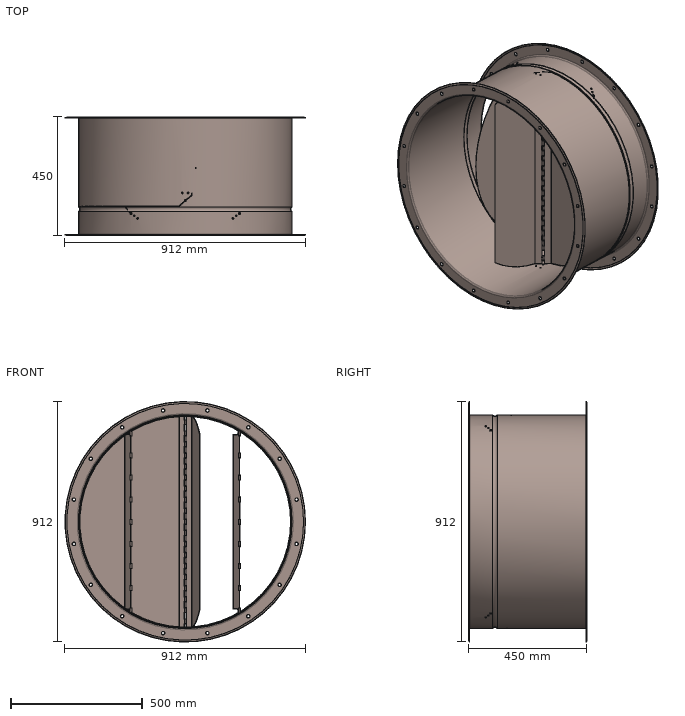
import cadquery as cq
import math


LENGTH = 450.0
FLANGE_RADIUS = 456.0
BORE_RADIUS = 404.0
WALL = 1.4
BEND_RADIUS = 5.9
RIM_WIDTH = 7.0
RIM_SETBACK = 3.0
BEAD_FRONT = -134.0
BEAD_BACK = -116.0
BEAD_DEPTH = 5.0

BOLT_COUNT = 16
BOLT_CIRCLE_RADIUS = 430.5
BOLT_HOLE_DIAMETER = 12.0

SHEET = 1.4
LEAF_RADIUS = 402.0
OPEN_ANGLE = 81.3
SEAT_Y = -113.0
FOLD_GAP = 2.0
BARREL_GAP = 1.0

INNER_HINGE = (0.0, -92.0)
INNER_FOLD_X = 23.0
INNER_BARREL_RADIUS = 4.0
INNER_PITCH = 42.0
LEFT_KNUCKLE_LENGTH = 18.0
RIGHT_KNUCKLE_LENGTH = 22.0
LEFT_KNUCKLES = range(-9, 10)
RIGHT_KNUCKLES = range(-8, 8)

OUTER_HINGE = (206.0, -141.0)
OUTER_FOLD_X = 230.0
OUTER_BARREL_RADIUS = 4.0
OUTER_PITCH = 84.0
OUTER_KNUCKLE_LENGTH = 19.0
OUTER_KNUCKLES = range(-4, 5)
LIP_TOP = 330.0
RELIEF_START = 9.0
RELIEF_END = 15.0

PIN_HOLE_DIAMETER = 5.3
STOP_HOLE_DIAMETER = 5.0
CENTRE_STOP_HOLES = [(-11.0, -63.0), (11.0, -63.0)]
SIDE_STOP_HOLES = [(193.0, -150.0), (181.0, -160.0)]


def revolved_skin(radius, bend, flat_y):
    """Ring between one skin of the duct (rim, flange, bend, beaded wall, and back) and the rims."""
    rim_inner = FLANGE_RADIUS - RIM_WIDTH
    rim_y = flat_y - RIM_SETBACK
    corner = bend * (1 - math.sqrt(0.5))
    bead_middle = (BEAD_FRONT + BEAD_BACK) / 2
    outline = (
        cq.Workplane("XY")
        .moveTo(FLANGE_RADIUS, -rim_y)
        .lineTo(rim_inner, -flat_y)
        .lineTo(radius + bend, -flat_y)
        .threePointArc((radius + corner, -flat_y + corner), (radius, -flat_y + bend))
        .lineTo(radius, BEAD_FRONT)
        .threePointArc((radius - BEAD_DEPTH, bead_middle), (radius, BEAD_BACK))
        .lineTo(radius, flat_y - bend)
        .threePointArc((radius + corner, flat_y - corner), (radius + bend, flat_y))
        .lineTo(rim_inner, flat_y)
        .lineTo(FLANGE_RADIUS, rim_y)
        .close()
    )
    return outline.revolve(360, (0, 0, 0), (0, 1, 0))


def make_duct():
    inside = revolved_skin(BORE_RADIUS, BEND_RADIUS, LENGTH / 2)
    outside = revolved_skin(BORE_RADIUS + WALL, BEND_RADIUS - WALL, LENGTH / 2 - WALL)
    shell = inside.cut(outside)

    bolt_holes = (
        cq.Workplane("XZ")
        .polarArray(BOLT_CIRCLE_RADIUS, 180 / BOLT_COUNT, 360, BOLT_COUNT)
        .circle(BOLT_HOLE_DIAMETER / 2)
        .extrude(LENGTH, both=True)
    )
    return shell.cut(bolt_holes).cut(wall_holes())


def wall_holes():
    """Vertical drills for the hinge pins and the leaf stops."""
    pins = [INNER_HINGE]
    stops = list(CENTRE_STOP_HOLES)
    for side in (-1, 1):
        pins.append((side * OUTER_HINGE[0], OUTER_HINGE[1]))
        stops += [(side * x, y) for x, y in SIDE_STOP_HOLES]
    plane = cq.Workplane("XY")
    pin_drills = plane.pushPoints(pins).circle(PIN_HOLE_DIAMETER / 2).extrude(FLANGE_RADIUS, both=True)
    stop_drills = plane.pushPoints(stops).circle(STOP_HOLE_DIAMETER / 2).extrude(FLANGE_RADIUS, both=True)
    return pin_drills.union(stop_drills)


def lip_angle(hinge, fold_x):
    """Direction of the lip from the hinge axis to the fold, in radians from +X."""
    return math.atan2(SEAT_Y - hinge[1], fold_x - hinge[0])


def folded_sheet(hinge, fold_x, end_x, lip_start):
    """Shut right-hand leaf: a slanted lip, then a flat plate with a round outer edge."""
    angle = lip_angle(hinge, fold_x)
    half = SHEET / 2
    miter = half * math.tan(angle / 2)
    start_x = hinge[0] + lip_start * math.cos(angle)
    start_y = hinge[1] + lip_start * math.sin(angle)
    side_x = half * math.sin(angle)
    side_y = half * math.cos(angle)
    profile = [
        (start_x - side_x, start_y + side_y),
        (fold_x - miter, SEAT_Y + half),
        (end_x, SEAT_Y + half),
        (end_x, SEAT_Y - half),
        (fold_x + miter, SEAT_Y - half),
        (start_x + side_x, start_y - side_y),
    ]
    sheet = cq.Workplane("XY").polyline(profile).close().extrude(LEAF_RADIUS, both=True)
    round_edge = cq.Workplane("XZ").circle(LEAF_RADIUS).extrude(LENGTH, both=True)
    return sheet.intersect(round_edge)


def hinge_knuckles(hinge, fold_x, radius, reach, length, heights):
    """Hinge barrels, each with a tab that reaches along the lip."""
    angle = math.degrees(lip_angle(hinge, fold_x))
    barrel = cq.Workplane("XY").circle(radius).extrude(length / 2, both=True)
    tab = cq.Workplane("XY").box(reach, SHEET, length, centered=(False, True, True))
    knuckle = barrel.union(tab.rotate((0, 0, 0), (0, 0, 1), angle))
    knuckles = cq.Workplane("XY")
    for z in heights:
        knuckles = knuckles.add(knuckle.translate((hinge[0], hinge[1], z)))
    return knuckles.combine()


def make_inner_leaf(knuckle_length, heights):
    """Leaf that turns on the middle axis; the lip stops clear of its neighbour's barrels."""
    lip_start = INNER_BARREL_RADIUS + BARREL_GAP
    sheet = folded_sheet(INNER_HINGE, INNER_FOLD_X, OUTER_FOLD_X - FOLD_GAP, lip_start)
    knuckles = hinge_knuckles(
        INNER_HINGE, INNER_FOLD_X, INNER_BARREL_RADIUS, lip_start + SHEET, knuckle_length, heights
    )
    return sheet.union(knuckles)


def bead_relief():
    """Pair of cutters that shorten the outer lip where it would meet the bead."""
    drop = LEAF_RADIUS - LIP_TOP
    lip_length = math.hypot(OUTER_FOLD_X - OUTER_HINGE[0], SEAT_Y - OUTER_HINGE[1])
    corner = RELIEF_END - RELIEF_START
    notch = (
        cq.Workplane("XZ")
        .moveTo(RELIEF_START, LIP_TOP + drop)
        .lineTo(RELIEF_START, LIP_TOP + corner)
        .radiusArc((RELIEF_END, LIP_TOP), -corner)
        .lineTo(lip_length, LIP_TOP)
        .lineTo(lip_length, LIP_TOP + drop)
        .close()
        .extrude(SHEET, both=True)
    )
    angle = math.degrees(lip_angle(OUTER_HINGE, OUTER_FOLD_X))
    upper = notch.rotate((0, 0, 0), (0, 0, 1), angle).translate((*OUTER_HINGE, 0))
    return upper.union(upper.mirror("XY"))


def make_outer_leaf():
    """Leaf that turns on a side axis and fills the rest of the bore."""
    sheet = folded_sheet(OUTER_HINGE, OUTER_FOLD_X, LEAF_RADIUS, 0).cut(bead_relief())
    heights = [k * OUTER_PITCH for k in OUTER_KNUCKLES]
    knuckles = hinge_knuckles(
        OUTER_HINGE, OUTER_FOLD_X, OUTER_BARREL_RADIUS, OUTER_BARREL_RADIUS, OUTER_KNUCKLE_LENGTH, heights
    )
    return sheet.union(knuckles)


def swing_open(leaf, hinge):
    """Turn a shut leaf about its vertical hinge axis."""
    return leaf.rotate((*hinge, 0), (*hinge, 1), OPEN_ANGLE)


left_heights = [k * INNER_PITCH for k in LEFT_KNUCKLES]
right_heights = [(k + 0.5) * INNER_PITCH for k in RIGHT_KNUCKLES]

duct = make_duct()
left_inner_leaf = make_inner_leaf(LEFT_KNUCKLE_LENGTH, left_heights).mirror("YZ")
right_inner_leaf = swing_open(make_inner_leaf(RIGHT_KNUCKLE_LENGTH, right_heights), INNER_HINGE)
left_outer_leaf = make_outer_leaf().mirror("YZ")
right_outer_leaf = swing_open(make_outer_leaf(), OUTER_HINGE)

result = cq.Compound.makeCompound([
    duct.val(),
    left_inner_leaf.val(),
    right_inner_leaf.val(),
    left_outer_leaf.val(),
    right_outer_leaf.val(),
])